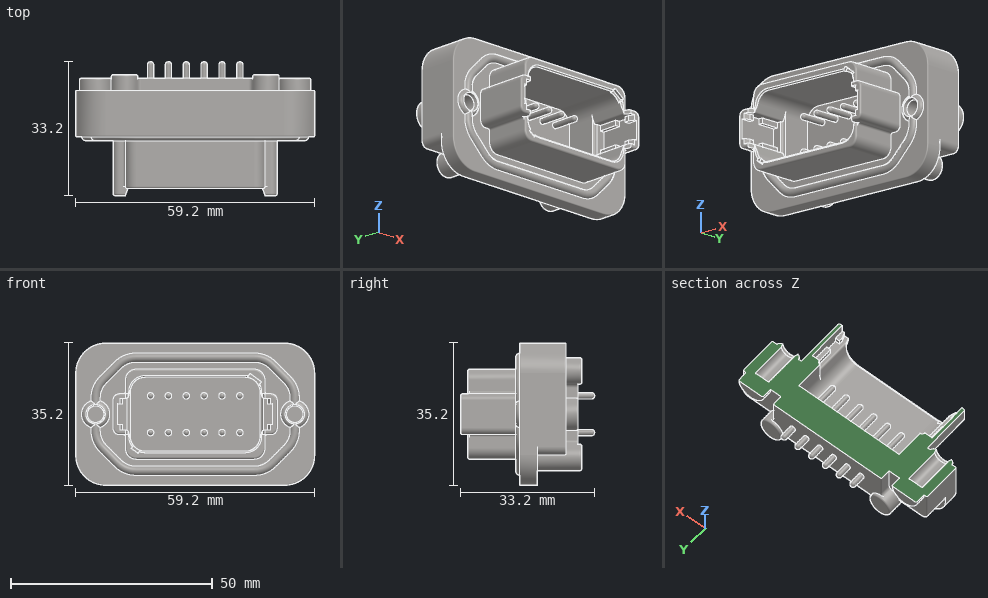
import cadquery as cq
import math


FLANGE_WIDTH = 59.2
FLANGE_HEIGHT = 35.25
FLANGE_CORNER_R = 7.5
FLANGE_BACK_Y = 11.5
FLANGE_EDGE_R = 0.3
STEP_Z = -10.05
STEP_Y = 4.4
STEP_EDGE_R = 1.9
SELECT_MARGIN = 0.1

BLOCK_WIDTH = 34.84
BLOCK_HEIGHT = 21.24
BLOCK_POST_FILLET_R = 1.0
BLOCK_BACK_Y = 14.5
BLOCK_EDGE_R = 0.3
POST_SPACING_X = 35.0
POST_SPACING_Z = 21.4
POST_R = 3.3
POST_BACK_Y = 15.4
POST_EDGE_R = 0.5
BOSS_X = 24.65
BOSS_R = 4.0
BOSS_BACK_Y = BLOCK_BACK_Y
BOSS_EDGE_R = 0.45

BEAD_R = 1.15
BEAD_HEIGHT = 1.0
BEAD_CENTRE_Y = BEAD_R - BEAD_HEIGHT
BEAD_HALF_HEIGHT = 14.0
BEAD_CORNER_CUT = 7.35
BEAD_BEND_R = 6.3
RING_R = 2.35
HOLE_R = 2.05
HOLE_MOUTH_R = 2.4
HOLE_DEPTH = 10.0

SHROUD_WIDTH = 34.5
SHROUD_HEIGHT = 22.3
SHROUD_CORNER_R = 2.65
SHROUD_LENGTH = 12.85
RIM_R = 0.5
CAVITY_WIDTH = 32.1
CAVITY_HEIGHT = 18.3
CAVITY_CORNER_R = 3.65
CAVITY_MOUTH_CHAMFER = 0.4
CAVITY_FLOOR_Y = 6.0

TAB_OUTER_X = 20.32
TAB_HEIGHT = 10.15
TAB_CORNER_R = 1.6
TAB_LENGTH = 14.6
TAB_WALL = 1.13
TAB_ROOT_R = 0.55
TAB_TIP_INNER_X = 17.3
TAB_SLOPE_X = 0.65
CHANNEL_FLOOR_Y = -3.0
CHANNEL_LIP_R = 0.85
CHANNEL_OVERLAP = 1.0
CHANNEL_FLARE_ANGLE = 16.0
CHANNEL_EDGE_R = 0.6
CHANNEL_INNER_HALF = 2.54
RIB_INNER_X = 17.95
RIB_END_Y = -8.5
HOOK_START_Y = -11.9
HOOK_BEND_Y = -13.1
HOOK_TIP_X = 18.58

KEY_ANGLE = 54.0
KEY_REACH = 4.4
KEY_DEPTH = 1.0
KEY_WIDTHS = ((0.0, 3.5), (180.0, 2.1))

PIN_COLUMNS = 6
PIN_ROWS = 2
PIN_PITCH_X = 4.42
PIN_PITCH_Z = 9.1
PIN_R = 0.8
PIN_TIP_R = 0.76
PIN_BACK_Y = 18.61
PIN_FRONT_Y = -1.65


def section(y):
    """Sketch plane at the given Y; extruding from it goes toward -Y."""
    return cq.Workplane("XZ", origin=(0, y, 0))


def rounded_block(width, height, corner_r, back_y, front_y):
    block = section(back_y).rect(width, height).extrude(back_y - front_y)
    return block.edges("|Y").fillet(corner_r)


def make_flange():
    flange = rounded_block(FLANGE_WIDTH, FLANGE_HEIGHT, FLANGE_CORNER_R, FLANGE_BACK_Y, 0)
    step_height = FLANGE_HEIGHT / 2 + STEP_Z
    step = (
        section(FLANGE_BACK_Y)
        .center(0, STEP_Z - step_height / 2)
        .rect(FLANGE_WIDTH, step_height)
        .extrude(FLANGE_BACK_Y - STEP_Y)
    )
    flange = flange.cut(step)
    step_corners = cq.selectors.BoxSelector(
        (-FLANGE_WIDTH, STEP_Y, STEP_Z - SELECT_MARGIN),
        (FLANGE_WIDTH, FLANGE_BACK_Y, STEP_Z + SELECT_MARGIN),
    )
    flange = flange.edges("|Y").edges(step_corners).fillet(STEP_EDGE_R)
    return flange.faces("<Y or >Y").edges().fillet(FLANGE_EDGE_R)


def make_posts(back_y):
    return (
        section(back_y)
        .rarray(POST_SPACING_X, POST_SPACING_Z, 2, 2)
        .circle(POST_R)
        .extrude(back_y - STEP_Y)
    )


def make_back():
    """Raised block blended into a taller post at each corner, plus two side bosses."""
    block = section(BLOCK_BACK_Y).rect(BLOCK_WIDTH, BLOCK_HEIGHT).extrude(BLOCK_BACK_Y - STEP_Y)
    back = block.union(make_posts(BLOCK_BACK_Y)).edges("|Y").fillet(BLOCK_POST_FILLET_R)
    back = back.faces(">Y").edges().fillet(BLOCK_EDGE_R)
    posts = make_posts(POST_BACK_Y)
    back = back.cut(posts)
    bosses = (
        section(BOSS_BACK_Y)
        .rarray(2 * BOSS_X, 1, 2, 1)
        .circle(BOSS_R)
        .extrude(BOSS_BACK_Y - STEP_Y)
    )
    back = back.union(posts.faces(">Y").edges().fillet(POST_EDGE_R))
    return back.union(bosses.faces(">Y").edges().fillet(BOSS_EDGE_R))


def make_bead():
    outline = (
        cq.Workplane("XY")
        .rect(2 * BOSS_X, 2 * BEAD_HALF_HEIGHT)
        .extrude(1)
        .edges("|Z").chamfer(BEAD_CORNER_CUT)
        .edges("|Z").fillet(BEAD_BEND_R)
        .rotate((0, 0, 0), (1, 0, 0), 90)
        .translate((0, BEAD_CENTRE_Y, 0))
    )
    path = outline.faces(">Y").wires().val()
    start = cq.Workplane("YZ", origin=(0, BEAD_CENTRE_Y, BEAD_HALF_HEIGHT))
    bead = start.circle(BEAD_R).sweep(cq.Workplane(path))
    for x in (-BOSS_X, BOSS_X):
        ring = cq.Solid.makeTorus(
            RING_R, BEAD_R, cq.Vector(x, BEAD_CENTRE_Y, 0), cq.Vector(0, 1, 0)
        )
        bead = bead.union(cq.Workplane(ring))
    return bead


def make_tab():
    """Latch tab on the +X end, before hollowing."""
    shroud_end = SHROUD_WIDTH / 2
    slope_x = TAB_TIP_INNER_X - TAB_SLOPE_X
    tab = (
        cq.Workplane("XY", origin=(0, 0, -TAB_HEIGHT / 2))
        .moveTo(slope_x, 0)
        .lineTo(TAB_OUTER_X, 0)
        .lineTo(TAB_OUTER_X, -TAB_LENGTH)
        .lineTo(TAB_TIP_INNER_X, -TAB_LENGTH)
        .lineTo(slope_x, -SHROUD_LENGTH)
        .close()
        .extrude(TAB_HEIGHT)
    )
    tab = tab.edges("|Y and >X").fillet(TAB_CORNER_R)
    tip_edges = cq.selectors.BoxSelector(
        (TAB_TIP_INNER_X + SELECT_MARGIN, -TAB_LENGTH - SELECT_MARGIN, -TAB_HEIGHT),
        (TAB_OUTER_X + SELECT_MARGIN, -TAB_LENGTH + SELECT_MARGIN, TAB_HEIGHT),
    )
    tab = tab.faces("<Y").edges(tip_edges).fillet(RIM_R)
    for side in (-1, 1):
        corner_z = side * TAB_HEIGHT / 2
        web = (
            section(0)
            .moveTo(shroud_end, corner_z)
            .lineTo(shroud_end + TAB_ROOT_R, corner_z)
            .radiusArc((shroud_end, corner_z + side * TAB_ROOT_R), side * TAB_ROOT_R)
            .close()
            .extrude(SHROUD_LENGTH - RIM_R)
        )
        tab = tab.union(web)
    return tab


def make_channel():
    """Space inside the +X tab, open to the shroud cavity."""
    wall_x = CAVITY_WIDTH / 2
    inner_x = wall_x - CHANNEL_OVERLAP
    outer_x = TAB_OUTER_X - TAB_WALL
    half = TAB_HEIGHT / 2 - TAB_WALL
    flare = math.radians(CHANNEL_FLARE_ANGLE)
    flare_x = wall_x - CAVITY_CORNER_R * (1 - math.cos(flare))
    flare_z = CAVITY_HEIGHT / 2 - CAVITY_CORNER_R * (1 - math.sin(flare))
    edge_x = flare_x + (flare_z - half) * math.tan(flare)
    lip_x = wall_x + CHANNEL_LIP_R
    channel = (
        cq.Workplane("XY", origin=(0, 0, -flare_z))
        .moveTo(inner_x, -TAB_LENGTH)
        .lineTo(outer_x, -TAB_LENGTH)
        .lineTo(outer_x, CHANNEL_FLOOR_Y)
        .lineTo(lip_x, CHANNEL_FLOOR_Y)
        .radiusArc((wall_x, CHANNEL_FLOOR_Y + CHANNEL_LIP_R), -CHANNEL_LIP_R)
        .lineTo(inner_x, CHANNEL_FLOOR_Y + CHANNEL_LIP_R)
        .close()
        .extrude(2 * flare_z)
    )
    cross_section = (
        section(0)
        .moveTo(inner_x, flare_z)
        .lineTo(flare_x, flare_z)
        .lineTo(edge_x, half)
        .lineTo(outer_x, half)
        .lineTo(outer_x, -half)
        .lineTo(edge_x, -half)
        .lineTo(flare_x, -flare_z)
        .lineTo(inner_x, -flare_z)
        .close()
        .extrude(TAB_LENGTH)
    )
    flare_edges = cq.selectors.BoxSelector(
        (edge_x - SELECT_MARGIN, -TAB_LENGTH, -flare_z),
        (edge_x + SELECT_MARGIN, 0, flare_z),
    )
    cross_section = cross_section.edges("|Y").edges(flare_edges).fillet(CHANNEL_EDGE_R)
    channel = channel.intersect(cross_section)
    rib = (
        cq.Workplane("XY")
        .moveTo(RIB_INNER_X, CHANNEL_FLOOR_Y)
        .lineTo(outer_x, CHANNEL_FLOOR_Y)
        .lineTo(outer_x, RIB_END_Y)
        .lineTo(RIB_INNER_X, RIB_END_Y)
        .close()
        .extrude(half - CHANNEL_INNER_HALF)
    )
    hook = (
        cq.Workplane("XY")
        .moveTo(RIB_INNER_X, HOOK_START_Y)
        .lineTo(outer_x, HOOK_START_Y)
        .lineTo(outer_x, -TAB_LENGTH)
        .lineTo(HOOK_TIP_X, -TAB_LENGTH)
        .lineTo(RIB_INNER_X, HOOK_BEND_Y)
        .close()
        .extrude(half - CHANNEL_INNER_HALF)
    )
    for bottom_z in (-half, CHANNEL_INNER_HALF):
        channel = channel.cut(rib.translate((0, 0, bottom_z)))
        channel = channel.cut(hook.translate((0, 0, bottom_z)))
    return channel


def make_shroud():
    shroud = rounded_block(SHROUD_WIDTH, SHROUD_HEIGHT, SHROUD_CORNER_R, 0, -SHROUD_LENGTH)
    shroud = shroud.faces("<Y").edges().fillet(RIM_R)
    tab = make_tab()
    return shroud.union(tab).union(tab.mirror("YZ"))


def make_cavity():
    cavity = rounded_block(
        CAVITY_WIDTH, CAVITY_HEIGHT, CAVITY_CORNER_R, CAVITY_FLOOR_Y, -SHROUD_LENGTH
    )
    lead_in = rounded_block(
        CAVITY_WIDTH + 2 * CAVITY_MOUTH_CHAMFER,
        CAVITY_HEIGHT + 2 * CAVITY_MOUTH_CHAMFER,
        CAVITY_CORNER_R + CAVITY_MOUTH_CHAMFER,
        CAVITY_MOUTH_CHAMFER - SHROUD_LENGTH,
        -SHROUD_LENGTH - CAVITY_MOUTH_CHAMFER,
    )
    cavity = cavity.union(lead_in.faces(">Y").edges().chamfer(CAVITY_MOUTH_CHAMFER))
    channel = make_channel()
    return cavity.union(channel).union(channel.mirror("YZ"))


def make_key_notches():
    centre_x = CAVITY_WIDTH / 2 - CAVITY_CORNER_R
    centre_z = CAVITY_HEIGHT / 2 - CAVITY_CORNER_R
    notches = cq.Workplane()
    for turn, width in KEY_WIDTHS:
        notch = (
            section(KEY_DEPTH - SHROUD_LENGTH)
            .center(KEY_REACH / 2, 0)
            .rect(KEY_REACH, width)
            .extrude(KEY_DEPTH)
            .rotate((0, 0, 0), (0, 1, 0), -KEY_ANGLE)
            .translate((centre_x, 0, centre_z))
            .rotate((0, 0, 0), (0, 1, 0), turn)
        )
        notches = notches.add(notch)
    return notches.combine()


def make_mounting_holes():
    """Blind holes with a tapered entry through the height of the ring."""
    profile = (
        cq.Workplane("XY")
        .moveTo(0, -BEAD_HEIGHT)
        .lineTo(HOLE_MOUTH_R, -BEAD_HEIGHT)
        .lineTo(HOLE_R, 0)
        .lineTo(HOLE_R, HOLE_DEPTH)
        .lineTo(0, HOLE_DEPTH)
        .close()
    )
    hole = profile.revolve(360, (0, 0, 0), (0, 1, 0)).translate((BOSS_X, 0, 0))
    return hole.union(hole.mirror("YZ"))


def make_pins():
    pins = (
        section(PIN_BACK_Y)
        .rarray(PIN_PITCH_X, PIN_PITCH_Z, PIN_COLUMNS, PIN_ROWS)
        .circle(PIN_R)
        .extrude(PIN_BACK_Y - PIN_FRONT_Y)
    )
    return pins.faces("<Y or >Y").edges().fillet(PIN_TIP_R)


result = make_flange().union(make_back()).union(make_bead()).union(make_shroud())
result = result.cut(make_cavity()).cut(make_key_notches()).cut(make_mounting_holes())
result = result.union(make_pins())